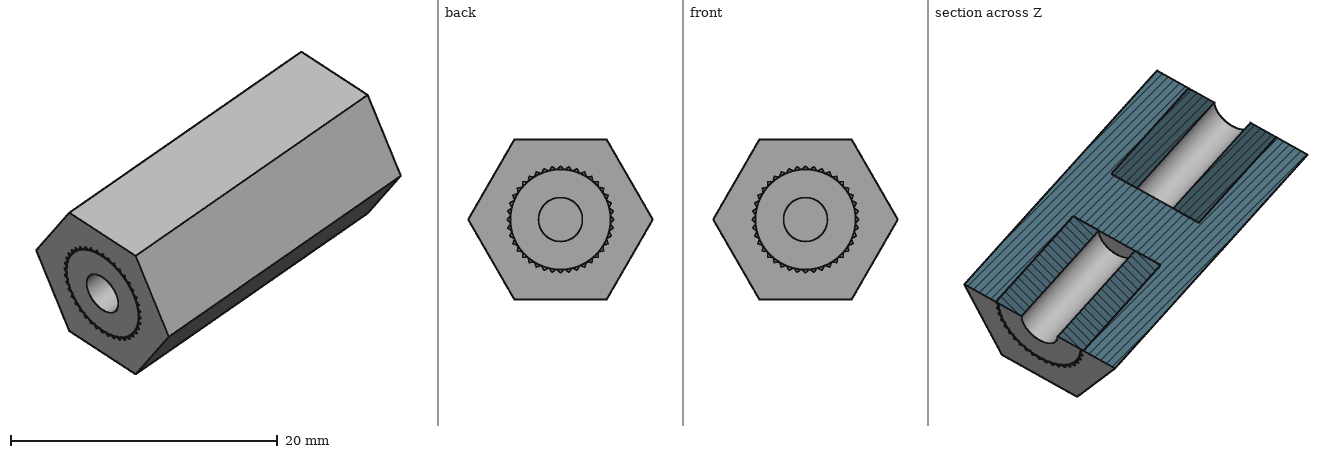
import cadquery as cq
import math

spacer_length = 25.0
across_flats = 12.0
hexagon_sides = 6
across_corners = across_flats / math.cos(math.pi / hexagon_sides)

insert_length = 10.0
core_diameter = 7.5
bore_diameter = 3.3

tooth_count = 40
tooth_pitch = 2 * math.pi / tooth_count
tip_radius = 4.0
root_radius = 3.72
knurl_setback = 0.012


def end_plane(end_y, inward):
    """Plane across the Y axis at end_y, facing along +Y (1) or -Y (-1)."""
    return cq.Plane(origin=(0, end_y, 0), xDir=(1, 0, 0), normal=(0, inward, 0))


def polar_point(radius, angle):
    return (radius * math.cos(angle), radius * math.sin(angle))


def knurled_plug(end_y, inward, setback):
    """Round core with teeth that start at the given setback from its outer face."""
    outline = []
    for tooth in range(tooth_count):
        tip_angle = tooth * tooth_pitch
        outline.append(polar_point(tip_radius, tip_angle))
        outline.append(polar_point(root_radius, tip_angle + tooth_pitch / 2))
    knurl_start = end_plane(end_y + inward * setback, inward)
    knurl = cq.Workplane(knurl_start).polyline(outline).close().extrude(insert_length - setback)
    core = cq.Workplane(end_plane(end_y, inward)).circle(core_diameter / 2).extrude(insert_length)
    return core.union(knurl)


def make_insert(end_y, inward):
    """Knurled insert with a bore along its whole length."""
    bore = cq.Workplane(end_plane(end_y, inward)).circle(bore_diameter / 2).extrude(insert_length)
    return knurled_plug(end_y, inward, knurl_setback).cut(bore)


def make_spacer(ends):
    """Hexagonal bar with a toothed socket in each end."""
    start = end_plane(-spacer_length / 2, 1)
    bar = cq.Workplane(start).polygon(hexagon_sides, across_corners).extrude(spacer_length)
    for end_y, inward in ends:
        bar = bar.cut(knurled_plug(end_y, inward, 0))
    return bar


spacer_ends = [(-spacer_length / 2, 1), (spacer_length / 2, -1)]

spacer = make_spacer(spacer_ends)
inserts = [make_insert(end_y, inward) for end_y, inward in spacer_ends]

result = cq.Compound.makeCompound([spacer.val(), *[insert.val() for insert in inserts]])